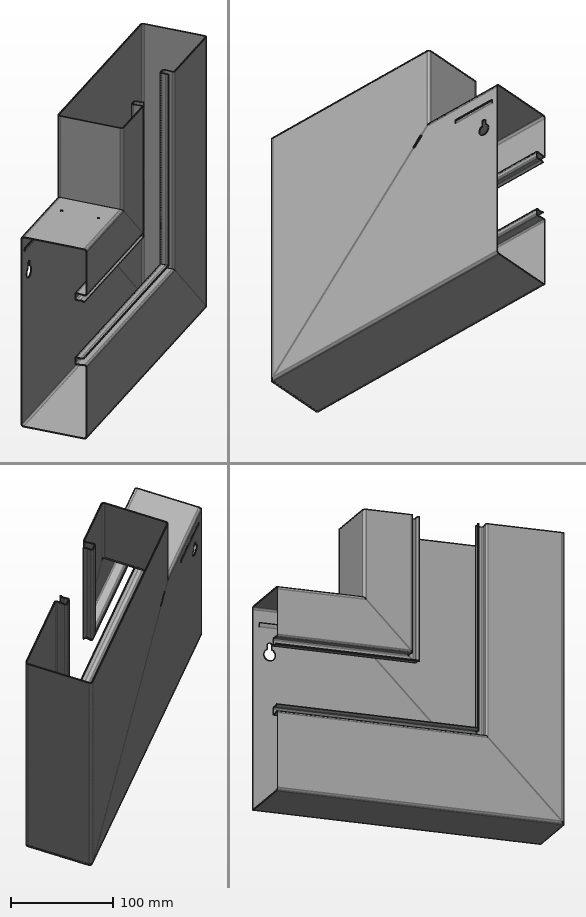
import cadquery as cq
import math

WIDTH = 70.0
LEG = 299.8
ARM = 210.2
SHEET = 1.05
BEND = 3.0
HOOK_BEND = 2.0

OUTER_STRIP = 82.2
INNER_STRIP = 52.0
HOOK_BASE = 8.5
HOOK_WEB = 4.5
HOOK_LEG = 4.0
HOOK_TILT = 5.0
FLARE_ANGLE = 48.0
FLARE_RADIUS = 4.8

SCREW_Y = 65.0
SCREW_HOLES = [(15.3, 2.5), (54.3, 1.8)]
KEY_Y = 17.7
KEY_Z = 162.5
KEY_RADIUS = 6.0
KEY_NECK_RADIUS = 2.5
KEY_NECK_RISE = 10.0
TAB_Y = 31.2
TAB_LENGTH = 48.5
TAB_Z = 190.5
TAB_RISE = 4.0
TAB_LEAN = 1.0
SLIT_START = 10.8
SLIT_END = 21.0
SLIT_WIDTH = 1.8


def folded_strip(start, heading, folds):
    """Closed XZ outline of sheet that follows straight runs and bends.

    Each fold is (straight length, bend angle, middle radius); angles in degrees,
    counter-clockwise positive. Every bend is marked at its start, middle and end.
    """
    left = []
    right = []
    x, z = start
    half = SHEET / 2

    def mark(px, pz, angle):
        nx, nz = -math.sin(angle), math.cos(angle)
        left.append((px + half * nx, pz + half * nz))
        right.append((px - half * nx, pz - half * nz))

    angle = math.radians(heading)
    mark(x, z, angle)
    for length, turn_degrees, radius in folds:
        x += length * math.cos(angle)
        z += length * math.sin(angle)
        mark(x, z, angle)
        turn = math.radians(turn_degrees)
        side = math.copysign(radius, turn)
        centre_x = x - side * math.sin(angle)
        centre_z = z + side * math.cos(angle)
        for _ in range(2):
            angle += turn / 2
            x = centre_x + side * math.sin(angle)
            z = centre_z - side * math.cos(angle)
            mark(x, z, angle)

    outline = cq.Workplane("XZ").moveTo(*left[0])
    for i in range(1, len(left), 3):
        outline = outline.lineTo(*left[i]).threePointArc(left[i + 1], left[i + 2])
    back = right[::-1]
    outline = outline.lineTo(*back[0])
    for i in range(0, len(back) - 1, 3):
        outline = outline.threePointArc(back[i + 1], back[i + 2]).lineTo(*back[i + 3])
    return outline.close()


def half_channel(strip):
    """Lower half of an arm, running along Y, with a cover strip of the given width."""
    bend = BEND - SHEET / 2
    hook = HOOK_BEND - SHEET / 2
    folds = [
        (ARM / 2 - BEND, 90, bend),
        (WIDTH - 2 * BEND, 90, bend),
        (strip - BEND - HOOK_BEND, 90 + HOOK_TILT, hook),
        (HOOK_BASE, -90 - HOOK_TILT, hook),
        (HOOK_WEB, -90 - HOOK_TILT, hook),
        (HOOK_LEG, FLARE_ANGLE, FLARE_RADIUS),
    ]
    return folded_strip((SHEET / 2, ARM / 2), -90, folds).extrude(-LEG)


def mitred_arm():
    """Lower arm along Y, cut off at 45 degrees where it meets the upper arm."""
    lower = half_channel(OUTER_STRIP)
    upper = half_channel(INNER_STRIP).mirror("XY", (0, 0, ARM / 2))
    keep = (
        cq.Workplane("YZ")
        .polyline([(0, 0), (LEG, 0), (LEG - ARM, ARM), (0, ARM)])
        .close()
        .extrude(WIDTH)
    )
    return lower.union(upper).intersect(keep)


def keyhole():
    """Cutter for the hanging keyhole in the back."""
    back = cq.Workplane("YZ", origin=(0, KEY_Y, KEY_Z))
    head = back.circle(KEY_RADIUS).extrude(BEND)
    neck = back.center(0, KEY_NECK_RISE / 2).rect(2 * KEY_NECK_RADIUS, KEY_NECK_RISE).extrude(BEND)
    end = back.center(0, KEY_NECK_RISE).circle(KEY_NECK_RADIUS).extrude(BEND)
    return head.union(neck).union(end)


def screw_holes():
    """Cutter for the two screw holes in the inner wall of the lower arm."""
    holes = cq.Workplane("XY")
    for x, diameter in SCREW_HOLES:
        drill = cq.Workplane("XY", origin=(x, SCREW_Y, ARM - BEND)).circle(diameter / 2).extrude(BEND)
        holes = holes.add(drill)
    return holes.combine()


def mitre_slit():
    """Cutter for the short slit in the back along the mitre line."""
    middle = (SLIT_START + SLIT_END) / 2
    length = (SLIT_END - SLIT_START) * math.sqrt(2)
    return (
        cq.Workplane("YZ", origin=(0, LEG - ARM + middle, ARM - middle))
        .transformed(rotate=(0, 0, -45))
        .rect(length, SLIT_WIDTH)
        .extrude(BEND)
    )


def tab_window():
    """Cutter for the opening that the tab is lanced from."""
    window = cq.Workplane("YZ", origin=(0, TAB_Y, TAB_Z + TAB_RISE / 2))
    return window.rect(TAB_LENGTH, TAB_RISE).extrude(SHEET)


def tab():
    """Tab hinged on its lower edge and leaning into the channel."""
    return (
        cq.Workplane("XZ", origin=(0, TAB_Y + TAB_LENGTH / 2, 0))
        .polyline([
            (0, TAB_Z),
            (TAB_LEAN, TAB_Z + TAB_RISE),
            (TAB_LEAN + SHEET, TAB_Z + TAB_RISE),
            (SHEET, TAB_Z),
        ])
        .close()
        .extrude(TAB_LENGTH)
    )


lower_arm = mitred_arm()
upper_arm = lower_arm.mirror((0, 1, 1), (0, LEG, 0))
lanced_tab = tab()

result = lower_arm.union(upper_arm, clean=False).union(lanced_tab, clean=False)
for cutter in (keyhole(), screw_holes(), mitre_slit(), tab_window().cut(lanced_tab)):
    result = result.cut(cutter, clean=False)